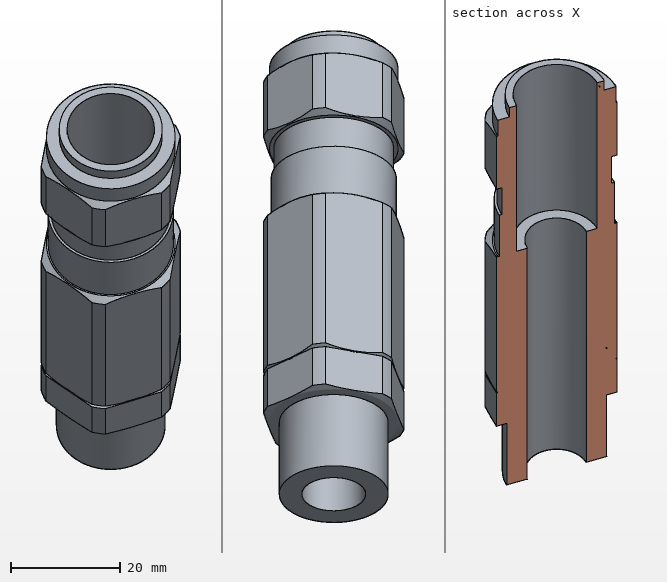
import cadquery as cq
import math

entry_hex_bottom = 15.3
body_hex_bottom = 23.7
body_hex_top = 57.5
collar_top = 67.7
nut_bottom = 74.2
nut_top = 87.5
cap_top = 91.4
overall_height = 93.7

spigot_diameter = 20.0
collar_diameter = 23.0
neck_diameter = 22.0
cap_diameter = 23.6
lip_diameter = 18.9

hex_sides = 6
across_flats = 24.0
across_corners = 26.4
hex_chamfer_angle = 30.0
entry_chamfer_angle = 15.0
chamfer_start_diameter = 23.6

through_bore_diameter = 11.7
cable_bore_diameter = 16.0
cable_bore_bottom = body_hex_top


def cylinder(diameter, bottom, top):
    """Round section on the Z axis between two heights."""
    return cq.Workplane("XY").workplane(offset=bottom).circle(diameter / 2).extrude(top - bottom)


def turned_blank(bottom, top, bottom_angle, top_angle):
    """Cylinder with a conical chamfer at each end; an angle of zero leaves that end square."""
    outer_radius = across_corners / 2
    inner_radius = chamfer_start_diameter / 2
    chamfer_width = outer_radius - inner_radius
    bottom_rise = chamfer_width * math.tan(math.radians(bottom_angle))
    top_drop = chamfer_width * math.tan(math.radians(top_angle))
    profile = cq.Workplane("XZ").moveTo(0, bottom).lineTo(inner_radius, bottom)
    profile = profile.lineTo(outer_radius, bottom + bottom_rise)
    profile = profile.lineTo(outer_radius, top - top_drop)
    profile = profile.lineTo(inner_radius, top).lineTo(0, top).close()
    return profile.revolve(360, (0, 0, 0), (0, 1, 0))


def hexagon(bottom, top, bottom_angle, top_angle):
    """Hexagonal section with rounded corners and conical end chamfers."""
    sharp_corners = across_flats / math.cos(math.pi / hex_sides)
    prism = cq.Workplane("XY").workplane(offset=bottom).polygon(hex_sides, sharp_corners)
    prism = prism.extrude(top - bottom)
    return prism.intersect(turned_blank(bottom, top, bottom_angle, top_angle))


def outer_body():
    """All outside sections stacked from the entry spigot up to the lip."""
    sections = [
        cylinder(spigot_diameter, 0, entry_hex_bottom),
        hexagon(entry_hex_bottom, body_hex_bottom, entry_chamfer_angle, 0),
        hexagon(body_hex_bottom, body_hex_top, hex_chamfer_angle, hex_chamfer_angle),
        cylinder(collar_diameter, body_hex_top, collar_top),
        cylinder(neck_diameter, collar_top, nut_bottom),
        hexagon(nut_bottom, nut_top, hex_chamfer_angle, hex_chamfer_angle),
        cylinder(cap_diameter, nut_top, cap_top),
        cylinder(lip_diameter, cap_top, overall_height),
    ]
    body = sections[0]
    for section in sections[1:]:
        body = body.union(section)
    return body


def bores():
    """Through bore, widened from the top for the cable."""
    through_bore = cylinder(through_bore_diameter, 0, overall_height)
    cable_bore = cylinder(cable_bore_diameter, cable_bore_bottom, overall_height)
    return through_bore.union(cable_bore)


result = outer_body().cut(bores())